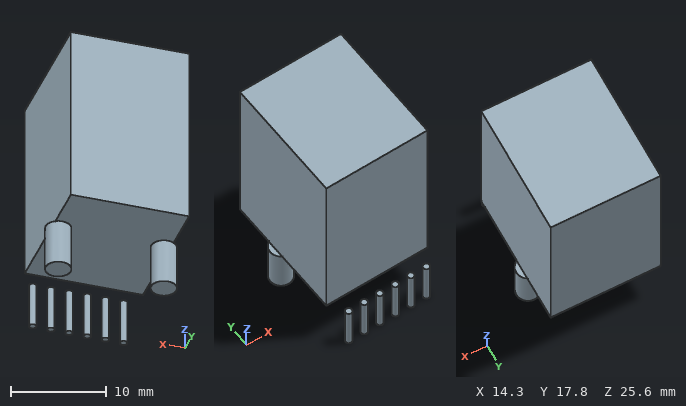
import cadquery as cq

overall_width = 14.35
overall_height = 25.6
leg_length = 5.12

housing_width = 13.0
housing_depth = 15.5
housing_height = overall_height - leg_length

peg_diameter = 2.76
peg_x = (overall_width - peg_diameter) / 2
peg_from_back = 6.4
peg_y = housing_depth / 2 - peg_from_back

pin_count = 6
pin_diameter = 0.8
pin_pitch = 2.0
pin_gap = 1.5
pin_y = -housing_depth / 2 - pin_gap - pin_diameter / 2


def make_housing():
    """Plain block standing on the plane of the leg tops, Z = leg_length."""
    return (
        cq.Workplane("XY")
        .workplane(offset=leg_length)
        .rect(housing_width, housing_depth)
        .extrude(housing_height)
    )


def make_leg(diameter, x, y):
    """Vertical round leg from Z = 0 up to the housing underside level."""
    return cq.Workplane("XY").center(x, y).circle(diameter / 2).extrude(leg_length)


housing = make_housing()

pegs = [make_leg(peg_diameter, side * peg_x, peg_y) for side in (-1, 1)]

pins = []
for index in range(pin_count):
    pin_x = (index - (pin_count - 1) / 2) * pin_pitch
    pins.append(make_leg(pin_diameter, pin_x, pin_y))

result = cq.Compound.makeCompound(
    [housing.val(), *[peg.val() for peg in pegs], *[pin.val() for pin in pins]]
)